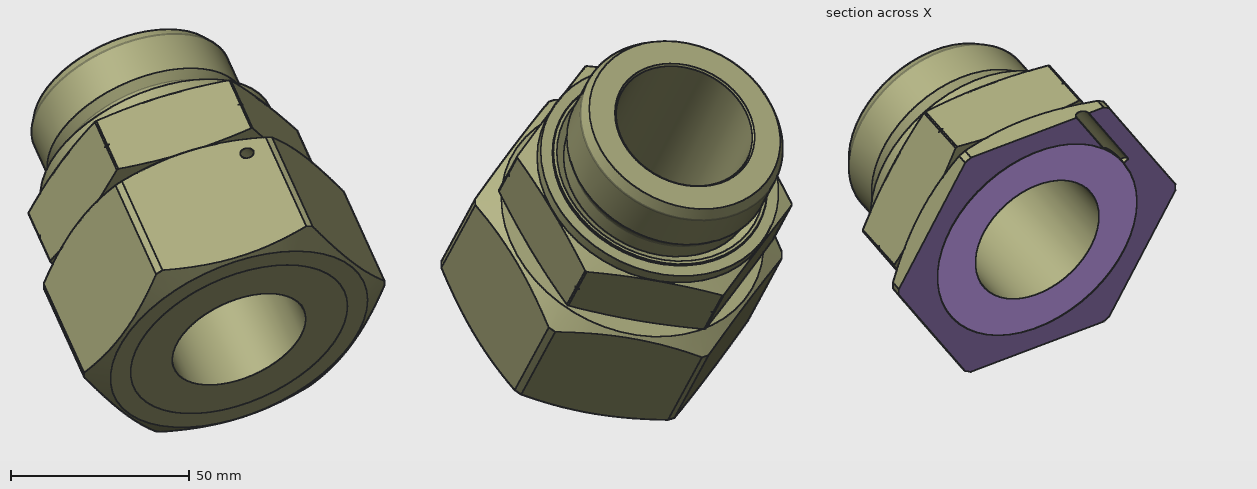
import cadquery as cq
import math


bore_dia = 40.0
bore_chamfer = 0.5
spigot_dia = 59.6
spigot_tip_dia = 56.1
undercut_dia = 55.9
spigot_cone_angle = 30
spigot_taper_start = 15.75
spigot_edge_fillet = 0.7
undercut_fillet = 2.0

collar_dia = 69.8
collar_start = 24.0
hex_start = 27.45
hex_end = 47.9
hex_across_flats = 70.0
hex_corner_dia = 80.55
hex_chamfer_angle = 15
mark_width = 0.3
mark_depth = 0.3
shoulder_dia = 66.0
shoulder_length = 0.9
neck_dia = 65.0

seal_dia = 63.0
seal_protrusion = 0.6
seal_recess_depth = 2.0
seal_edge_chamfer = 0.135
seal_mouth_dia = 60.75
seal_mouth_depth = 1.4

nut_start = 49.95
nut_end = 90.0
nut_across_flats = 79.0
nut_corner_dia = 90.0
nut_face_dia = 77.0
nut_chamfer_angle = 30
wire_hole_dia = 3.3
wire_hole_x = 57.0
wire_hole_tilt = 30


def turned(profile):
    """Revolve a closed list of (x, radius) points about the X axis."""
    return cq.Workplane("XY").polyline(profile).close().revolve(360, (0, 0, 0), (1, 0, 0))


def cylinder(dia, start, end):
    return cq.Workplane("YZ", origin=(start, 0, 0)).circle(dia / 2).extrude(end - start)


def chamfered_hexagon(across_flats, corner_dia, face_dia, chamfer_angle, start, end):
    """Hexagonal prism along X, flats up and down, corners turned down and both ends coned."""
    point_dia = across_flats / math.cos(math.radians(30))
    prism = cq.Workplane("YZ", origin=(start, 0, 0)).polygon(6, point_dia).extrude(end - start)
    cone_length = (corner_dia - face_dia) / 2 * math.tan(math.radians(chamfer_angle))
    envelope = turned([
        (start, 0),
        (start, face_dia / 2),
        (start + cone_length, corner_dia / 2),
        (end - cone_length, corner_dia / 2),
        (end, face_dia / 2),
        (end, 0),
    ])
    return prism.intersect(envelope)


def circles_at(x):
    """Selector for the circular edges centred on the axis at position x."""
    reach = 0.1
    return cq.selectors.BoxSelector((x - reach, -reach, -reach), (x + reach, reach, reach))


def make_spigot():
    """Threaded end with a coned tip and an undercut behind it."""
    cone_slope = math.tan(math.radians(spigot_cone_angle))
    tip_end = (spigot_dia - spigot_tip_dia) / 2 / cone_slope
    taper_end = spigot_taper_start + (spigot_dia - undercut_dia) / 2 / cone_slope
    spigot = turned([
        (0, 0),
        (0, spigot_tip_dia / 2),
        (tip_end, spigot_dia / 2),
        (spigot_taper_start, spigot_dia / 2),
        (taper_end, undercut_dia / 2),
        (hex_start, undercut_dia / 2),
        (hex_start, 0),
    ])
    spigot = spigot.edges(circles_at(tip_end)).fillet(spigot_edge_fillet)
    return spigot.edges(circles_at(taper_end)).fillet(undercut_fillet)


def make_hex_marks():
    """Narrow V groove around the middle of the hexagon; it only nicks the six corners."""
    middle = (hex_start + hex_end) / 2
    corner_radius = hex_corner_dia / 2
    return turned([
        (middle, corner_radius - mark_depth),
        (middle - mark_width / 2, corner_radius),
        (middle + mark_width / 2, corner_radius),
    ])


def make_shoulder():
    """Short step behind the hexagon that falls to the neck in a quarter ellipse."""
    return (
        cq.Workplane("XY")
        .moveTo(hex_end, 0)
        .lineTo(hex_end, shoulder_dia / 2)
        .ellipseArc(
            shoulder_length, (shoulder_dia - neck_dia) / 2, 0, 90, sense=-1, startAtCurrent=True
        )
        .lineTo(hex_end + shoulder_length, 0)
        .close()
        .revolve(360, (0, 0, 0), (1, 0, 0))
    )


def make_stud():
    seal_recess = cylinder(seal_dia, collar_start, collar_start + seal_recess_depth)
    collar = cylinder(collar_dia, collar_start, hex_start).cut(seal_recess)
    hexagon = chamfered_hexagon(
        hex_across_flats, hex_corner_dia, collar_dia, hex_chamfer_angle, hex_start, hex_end
    ).cut(make_hex_marks())
    neck = cylinder(neck_dia, hex_end, nut_end)
    stud = make_spigot().union(collar).union(hexagon).union(make_shoulder()).union(neck)
    stud = stud.cut(cylinder(bore_dia, 0, nut_end))
    bore_rim = stud.faces("<X").edges(cq.selectors.RadiusNthSelector(0))
    return bore_rim.chamfer(bore_chamfer)


def make_seal():
    """Ring that fills the collar recess, stands proud of the collar and has a coned mouth."""
    front = collar_start - seal_protrusion
    back = collar_start + seal_recess_depth
    outer_radius = seal_dia / 2
    inner_radius = undercut_dia / 2
    return turned([
        (back, inner_radius),
        (back, outer_radius),
        (front + seal_edge_chamfer, outer_radius),
        (front, outer_radius - seal_edge_chamfer),
        (front, seal_mouth_dia / 2),
        (front + seal_mouth_depth, inner_radius),
    ])


def make_wire_hole():
    """Slanted hole through the top flat whose axis runs tangent to the nut bore."""
    tilt = math.radians(wire_hole_tilt)
    tangent_y = neck_dia / 2 * math.cos(tilt)
    tangent_z = neck_dia / 2 * math.sin(tilt)
    outward = cq.Vector(0, -math.sin(tilt), math.cos(tilt))
    tangent_point = cq.Vector(wire_hole_x, tangent_y, tangent_z)
    return cq.Solid.makeCylinder(wire_hole_dia / 2, nut_across_flats / 2, tangent_point, outward)


def make_nut():
    nut = chamfered_hexagon(
        nut_across_flats, nut_corner_dia, nut_face_dia, nut_chamfer_angle, nut_start, nut_end
    )
    return nut.cut(cylinder(neck_dia, nut_start, nut_end)).cut(cq.Workplane(make_wire_hole()))


stud = make_stud().solids()
seal = make_seal().solids()
nut = make_nut().solids()

result = cq.Compound.makeCompound([stud.val(), seal.val(), nut.val()])